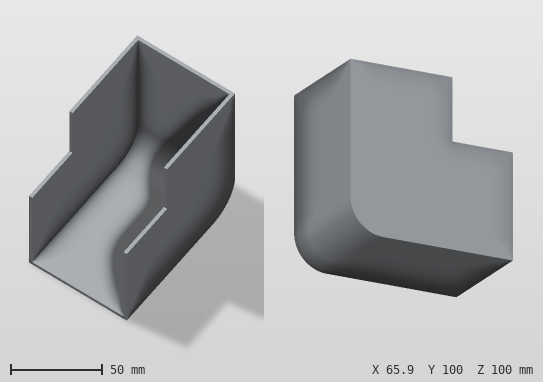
import cadquery as cq

width = 65.9
leg_length = 100.0
leg_depth = 62.7
wall = 2.2
outer_radius = 20.0
inner_radius = outer_radius - wall

half = leg_length / 2
inner_width = width - 2 * wall


def elbow_blank():
    """Solid L-shaped elbow, rounded at the outer corner (+Y, -Z)."""
    block = cq.Workplane("XY").box(width, leg_length, leg_length)
    block = block.edges(">Y and <Z").fillet(outer_radius)
    notch_size = leg_length - leg_depth
    notch = (
        cq.Workplane("XY")
        .box(width, notch_size, notch_size, centered=(True, False, False))
        .translate((0, -half, half - notch_size))
    )
    return block.cut(notch)


def channel():
    """Interior space, open at both leg ends and on the inner side of the bend."""
    space = (
        cq.Workplane("XY")
        .box(inner_width, leg_length, leg_length)
        .edges(">Y and <Z")
        .fillet(inner_radius)
    )
    return space.translate((0, -wall, wall))


result = elbow_blank().cut(channel())